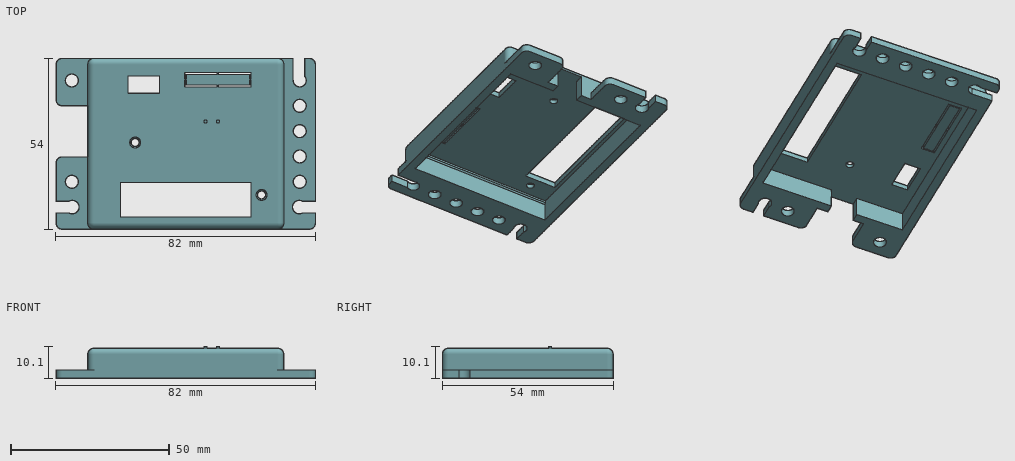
import cadquery as cq

length = 82.0
width = 54.0
flange_thickness = 2.6
corner_radius = 2.0
upper_tab_edge = 12.0
lower_tab_edge = -4.1

body_length = 62.0
body_height = 9.5
wall = 2.8
roof = 2.0
ceiling = body_height - roof
edge_radius = 2.0

hole_diameter = 4.0
hole_columns = 72.0
hole_pitch = hole_columns / 9
hole_x = hole_columns / 2
hole_rows = 5
hole_y = hole_rows * hole_pitch / 2
slot_width = 3.6
side_slot_diameter = 4.2
side_slot_inset = 0.2
top_slot_x = 35.75

notch_top_y = 8.4
notch_bottom_y = -0.4

ledge_bottom = 6.2
ledge_depth = 0.3
ledge_chamfer_height = 0.6

pin_window = (0.0, -17.7, 41.2, 10.8)
plug_window = (-13.3, 18.7, 9.9, 5.4)

panel_opening = (10.2, 20.25, 20.8, 4.5)
panel_gap_x = 0.3
panel_gap_y = 0.6
panel_tab = 0.5

button_centers = [(-16.0, 0.4), (23.95, -16.15)]
button_diameter = 2.5
button_chamfer = 0.5

pin_centers = [(6.2, 7.05), (10.2, 7.05)]
pin_diameter = 1.0
pin_height = 0.6


def block(x_min, x_max, y_min, y_max, z_min, z_max):
    """Box given by its limits along each axis."""
    return cq.Workplane("XY").box(
        x_max - x_min, y_max - y_min, z_max - z_min, centered=False
    ).translate((x_min, y_min, z_min))


def roof_block(center_x, center_y, size_x, size_y):
    """Box through the full thickness of the roof."""
    return cq.Workplane("XY", origin=(center_x, center_y, ceiling)).rect(size_x, size_y).extrude(roof)


def cylinders(centers, diameter, z_min, height):
    return cq.Workplane("XY", origin=(0, 0, z_min)).pushPoints(centers).circle(diameter / 2).extrude(height)


def make_flange():
    """Three rounded plates: two left tabs and one right strip, joined under the body."""
    def plate(x_min, x_max, y_min, y_max, rounded_edges):
        solid = block(x_min, x_max, y_min, y_max, 0, flange_thickness)
        return solid.edges("|Z").edges(rounded_edges).fillet(corner_radius)

    upper_tab = plate(-length / 2, 0, upper_tab_edge, width / 2, "<X")
    lower_tab = plate(-length / 2, 0, -width / 2, lower_tab_edge, "<X")
    right_strip = plate(0, length / 2, -width / 2, width / 2, ">X")
    return upper_tab.union(lower_tab).union(right_strip)


def make_body():
    """Block with rounded upper edges and with upright corners rounded above the flange."""
    base = block(-body_length / 2, body_length / 2, -width / 2, width / 2, 0, flange_thickness)
    upper = block(-body_length / 2, body_length / 2, -width / 2, width / 2, flange_thickness, body_height)
    upper = upper.edges("|Z or >Z").fillet(edge_radius)
    return base.union(upper)


def make_cavity():
    """Inner space, open below, with the chamfered ledge left standing on the right wall."""
    inner_x = body_length / 2 - wall
    inner_y = width / 2 - wall
    outline = [
        (-inner_x, 0),
        (inner_x, 0),
        (inner_x, ledge_bottom),
        (inner_x - ledge_depth, ledge_bottom + ledge_chamfer_height),
        (inner_x - ledge_depth, ceiling),
        (-inner_x, ceiling),
    ]
    return cq.Workplane("XZ").polyline(outline).close().extrude(inner_y, both=True)


def make_mounting_cuts():
    """Round holes, two slots open to the sides and one open to the back."""
    rows = [hole_y - row * hole_pitch for row in range(hole_rows)]
    centers = [(hole_x, y) for y in rows] + [(-hole_x, hole_y), (-hole_x, rows[-1])]
    cuts = cylinders(centers, hole_diameter, 0, flange_thickness)

    slot_end_x = hole_x - side_slot_inset
    side_ends = [(-slot_end_x, -hole_y), (slot_end_x, -hole_y)]
    cuts = cuts.union(cylinders(side_ends, side_slot_diameter, 0, flange_thickness))
    for x_min, x_max in [(-length / 2, -slot_end_x), (slot_end_x, length / 2)]:
        cuts = cuts.union(
            block(x_min, x_max, -hole_y - slot_width / 2, -hole_y + slot_width / 2, 0, flange_thickness)
        )

    top_slot = block(
        top_slot_x - slot_width / 2, top_slot_x + slot_width / 2, hole_y, width / 2, 0, flange_thickness
    )
    return cuts.union(top_slot)


def make_panel_gap():
    """Narrow gap around the knock-out panel, interrupted by the tabs."""
    x, y, size_x, size_y = panel_opening
    panel = roof_block(x, y, size_x - 2 * panel_gap_x, size_y - 2 * panel_gap_y)
    tabs = roof_block(x, y, size_x, panel_tab).union(roof_block(x, y, panel_tab, size_y))
    return roof_block(*panel_opening).cut(panel).cut(tabs)


def make_button_hole(x, y):
    """Through hole with a 45 degree countersink at the roof surface."""
    radius = button_diameter / 2
    profile = [
        (0, ceiling),
        (radius, ceiling),
        (radius, body_height - button_chamfer),
        (radius + button_chamfer, body_height),
        (0, body_height),
    ]
    hole = cq.Workplane("XZ").polyline(profile).close().revolve(360, (0, 0, 0), (0, 1, 0))
    return hole.translate((x, y, 0))


result = make_flange().union(make_body()).cut(make_cavity()).cut(make_mounting_cuts())

notch = block(-body_length / 2, -body_length / 2 + wall, notch_bottom_y, notch_top_y, 0, ceiling)
result = result.cut(notch)

for window in (pin_window, plug_window):
    result = result.cut(roof_block(*window))
result = result.cut(make_panel_gap())
for button_x, button_y in button_centers:
    result = result.cut(make_button_hole(button_x, button_y))

result = result.union(cylinders(pin_centers, pin_diameter, body_height, pin_height))